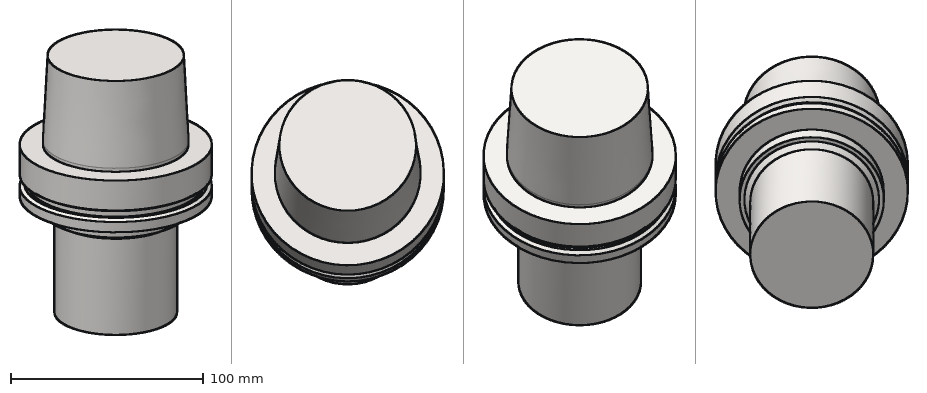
import cadquery as cq
import math


taper_height = 50.0
taper_collar_diameter = 75.8
taper_collar_height = 2.0
taper_base_diameter = 75.8
taper_ratio = 0.1
taper_length = taper_height - taper_collar_height
taper_top_diameter = taper_base_diameter - taper_ratio * taper_length

flange_diameter = 100.0
flange_thickness = 29.0
groove_diameter = 92.0
groove_centre_depth = 20.0
groove_mouth_width = 6.5
groove_floor_width = 3.75
groove_flank_angle = 30.0

collar_diameter = 75.0
collar_bottom = -37.0
neck_top_diameter = 70.0
body_diameter = 64.0
body_bottom = -94.0
neck_height = (neck_top_diameter - body_diameter) / 2


def cylinder(diameter, bottom, top):
    return cq.Workplane("XY").workplane(offset=bottom).circle(diameter / 2).extrude(top - bottom)


def revolve_profile(points):
    """Turn a closed (radius, height) outline around the Z axis."""
    return cq.Workplane("YZ").polyline(points).close().revolve(360, (0, 0, 0), (0, 1, 0))


def frustum(bottom_diameter, top_diameter, bottom, top):
    return revolve_profile([(0, bottom), (bottom_diameter / 2, bottom), (top_diameter / 2, top), (0, top)])


def make_shank():
    base = cylinder(taper_collar_diameter, 0, taper_collar_height)
    taper = frustum(taper_base_diameter, taper_top_diameter, taper_collar_height, taper_height)
    return base.union(taper)


def make_flange():
    rim = flange_diameter / 2
    floor = groove_diameter / 2
    half_mouth = groove_mouth_width / 2
    half_floor = groove_floor_width / 2
    flank_inner = rim - (half_mouth - half_floor) / math.tan(math.radians(groove_flank_angle))
    centre = -groove_centre_depth
    return revolve_profile([
        (0, 0),
        (rim, 0),
        (rim, centre + half_mouth),
        (flank_inner, centre + half_floor),
        (floor, centre + half_floor),
        (floor, centre - half_floor),
        (flank_inner, centre - half_floor),
        (rim, centre - half_mouth),
        (rim, -flange_thickness),
        (0, -flange_thickness),
    ])


def make_lower_body():
    collar = cylinder(collar_diameter, collar_bottom, -flange_thickness)
    neck = frustum(body_diameter, neck_top_diameter, collar_bottom - neck_height, collar_bottom)
    body = cylinder(body_diameter, body_bottom, collar_bottom)
    return collar.union(neck).union(body)


result = make_flange().union(make_shank()).union(make_lower_body())